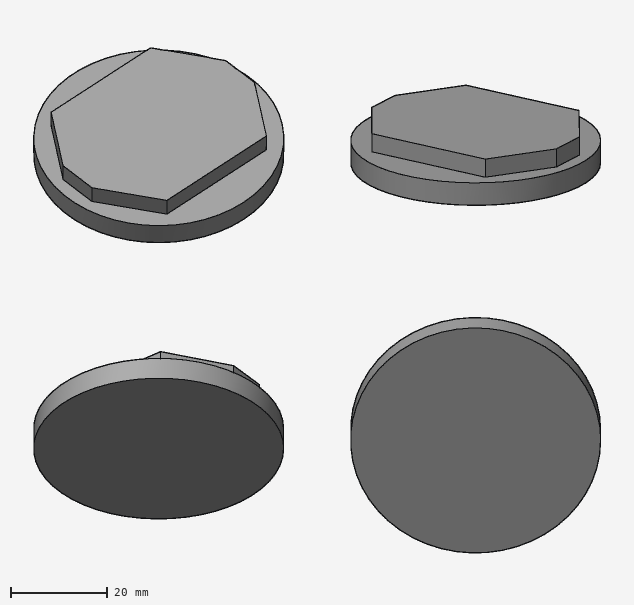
import cadquery as cq

disc_diameter = 52.0
disc_height = 5.0

pad_width = 35.5
pad_length = 45.95
pad_height = 4.0
end_flat = 8.85
side_flat = 28.15


def make_disc():
    return cq.Workplane("XY").circle(disc_diameter / 2).extrude(disc_height)


def make_pad():
    """Rectangle with its four corners cut off, standing on the disc."""
    corner_x = (pad_width - end_flat) / 2
    corner_y = (pad_length - side_flat) / 2
    block = (
        cq.Workplane("XY", origin=(0, 0, disc_height))
        .rect(pad_width, pad_length)
        .extrude(pad_height)
    )
    for side_x in (-1, 1):
        for side_y in (-1, 1):
            tip_x = side_x * pad_width / 2
            tip_y = side_y * pad_length / 2
            corner = (
                cq.Workplane("XY", origin=(0, 0, disc_height))
                .moveTo(tip_x, tip_y)
                .lineTo(tip_x - side_x * corner_x, tip_y)
                .lineTo(tip_x, tip_y - side_y * corner_y)
                .close()
                .extrude(pad_height)
            )
            block = block.cut(corner)
    return block


result = make_disc().union(make_pad())